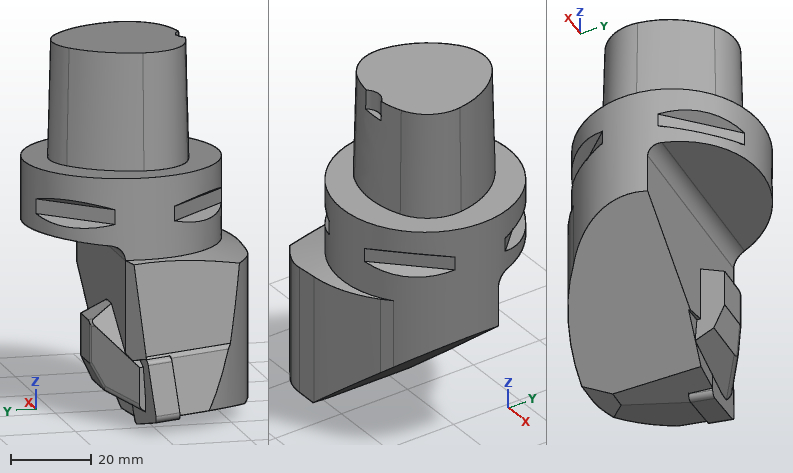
import cadquery as cq
import math


SHANK_HEIGHT = 30.0
BROAD_RADIUS = 16.6
LOBE_RADIUS = 18.5
JOINT_RADIUS = 17.6
BROAD_HALF_ANGLE = 34.4
SHANK_TAPER = 0.75
NOTCH_RADIUS = 4.1
NOTCH_CENTRE_Y = -18.2
NOTCH_DEPTH = 5.5

BODY_RADIUS = 50.0 / 2
GROOVE_MID_Z = -9.8
GROOVE_FLOOR_DISTANCE = 22.2
GROOVE_FLOOR_HEIGHT = 3.75
GROOVE_FLANK_ANGLE = 30

SHOULDER_Z = -20.9
SHOULDER_ANGLE = 15
BOTTOM_Z = -62.0
FRONT_Y = -28.7
FLAT_LEFT_X = -13.5
FLAT_RIGHT_X = -7.3
FRONT_ARC_RADIUS = 33.0
TANGENT_ANGLE = 36.6
CORNER_RADIUS = 12.2
CORNER_ANGLE = 25
SIDE_RADIUS = 30.9
SIDE_END_ANGLE = 80
BACK_SLOPE_ANGLE = 40
BACK_SLOPE_START_Z = -32.0
FRONT_BEVEL_ANGLE = 20.6
FRONT_BEVEL_START_Y = -21.7

WALL_Y = 5.2
RELIEF_EDGE_Z = -16.0
RELIEF_CEILING_ANGLE = 4.3
RELIEF_FILLET = 3.75
OBLIQUE_WALL_ANGLE = 31

FLANK_OFFSET = -23.0
FLANK_Y_SLOPE = -0.11
FLANK_Z_SLOPE = 0.17

INSERT_SIDE = 16.0
INSERT_THICKNESS = 6.4
INSERT_RADIUS = 1.6
NOSE = (-35.5, -0.1, -60.2)
FACE_X_SLOPE = 0.12
FACE_Z_SLOPE = 0.07
LOWER_EDGE_DROP = 0.25
NOSE_SETBACK = 0.8
FLANK_BREAK = 15.3
FLANK_BREAK_TOP = 16.6
FLANK_BREAK_DEPTH = 1.1

LUG_OUTLINE = [(5.2, -35.2), (11.8, -38.3), (11.8, -49.1), (8.8, -55.5), (1.1, -58.9), (1.1, -42.2)]
LUG_TIP = (-28.6, 2.6)
LUG_SLANT_ANGLE = 34
LUG_RIGHT_X = -5.6
LUG_FILLET = 1.9
LUG_BEVEL_BASE = (-28.3, -47.25)
LUG_BEVEL_ANGLE = 34

REACH = 112.5

insert_plane = cq.Plane(
    origin=NOSE,
    xDir=(1, FACE_X_SLOPE - FACE_Z_SLOPE * LOWER_EDGE_DROP, -LOWER_EDGE_DROP),
    normal=(FACE_X_SLOPE, -1, FACE_Z_SLOPE),
)


def polar(radius, degrees, z):
    angle = math.radians(degrees)
    return cq.Vector(radius * math.cos(angle), radius * math.sin(angle), z)


def lobed_profile(z, inset):
    """Three broad arcs alternating with three tighter lobes."""
    joint = JOINT_RADIUS - inset
    edges = []
    for middle in (-90, 30, 150):
        start = polar(joint, middle - BROAD_HALF_ANGLE, z)
        end = polar(joint, middle + BROAD_HALF_ANGLE, z)
        next_start = polar(joint, middle + 120 - BROAD_HALF_ANGLE, z)
        edges.append(cq.Edge.makeThreePointArc(start, polar(BROAD_RADIUS - inset, middle, z), end))
        edges.append(cq.Edge.makeThreePointArc(end, polar(LOBE_RADIUS - inset, middle + 60, z), next_start))
    return cq.Wire.assembleEdges(edges)


def make_shank():
    base = lobed_profile(0, 0)
    end = lobed_profile(SHANK_HEIGHT, SHANK_TAPER)
    notch = (
        cq.Workplane("XY", origin=(0, NOTCH_CENTRE_Y, SHANK_HEIGHT))
        .circle(NOTCH_RADIUS)
        .extrude(-NOTCH_DEPTH)
    )
    return cq.Workplane(cq.Solid.makeLoft([base, end], True)).cut(notch)


def make_groove(angle):
    """Trapezoidal groove cut straight across the rim at the given angle."""
    outer = BODY_RADIUS + 0.9
    half_floor = GROOVE_FLOOR_HEIGHT / 2
    half_mouth = half_floor + (outer - GROOVE_FLOOR_DISTANCE) * math.tan(math.radians(GROOVE_FLANK_ANGLE))
    return (
        cq.Workplane("XZ", origin=(0, 0, GROOVE_MID_Z))
        .polyline([
            (GROOVE_FLOOR_DISTANCE, -half_floor),
            (outer, -half_mouth),
            (outer, half_mouth),
            (GROOVE_FLOOR_DISTANCE, half_floor),
        ])
        .close()
        .extrude(BODY_RADIUS, both=True)
        .rotate((0, 0, 0), (0, 0, 1), angle)
    )


def arc_step(start, radius, from_angle, to_angle):
    """Middle and end of an arc, walking towards -X and turning to +Y from the front flat."""
    def at(angle):
        a, b = math.radians(from_angle), math.radians(angle)
        return (
            start[0] - radius * (math.sin(b) - math.sin(a)),
            start[1] + radius * (math.cos(a) - math.cos(b)),
        )
    return at((from_angle + to_angle) / 2), at(to_angle)


def make_head():
    tangent = math.radians(TANGENT_ANGLE)
    rim_point = (BODY_RADIUS * math.sin(tangent), -BODY_RADIUS * math.cos(tangent))
    flat_left = (FLAT_LEFT_X, FRONT_Y)
    flat_right = (FLAT_RIGHT_X, FRONT_Y)
    front_mid, front_end = [
        (FLAT_RIGHT_X + FRONT_ARC_RADIUS * math.sin(a), FRONT_Y + FRONT_ARC_RADIUS * (1 - math.cos(a)))
        for a in (tangent / 2, tangent)
    ]
    corner_mid, corner_end = arc_step(flat_left, CORNER_RADIUS, 0, CORNER_ANGLE)
    side_mid, side_end = arc_step(corner_end, SIDE_RADIUS, CORNER_ANGLE, SIDE_END_ANGLE)
    wall_x = -math.sqrt(BODY_RADIUS**2 - WALL_Y**2)
    oblique_y = WALL_Y - (wall_x - side_end[0]) * math.tan(math.radians(OBLIQUE_WALL_ANGLE))
    outline = (
        cq.Workplane("XY", origin=(0, 0, BOTTOM_Z))
        .moveTo(*rim_point)
        .lineTo(*front_end)
        .threePointArc(front_mid, flat_right)
        .lineTo(*flat_left)
        .threePointArc(corner_mid, corner_end)
        .threePointArc(side_mid, side_end)
        .lineTo(side_end[0], oblique_y)
        .lineTo(wall_x, WALL_Y)
        .lineTo(0, WALL_Y)
        .close()
        .extrude(SHOULDER_Z - BOTTOM_Z)
    )
    outer = 2 * BODY_RADIUS
    drop = (outer - BODY_RADIUS) * math.tan(math.radians(SHOULDER_ANGLE))
    cone_envelope = (
        cq.Workplane("XZ")
        .polyline([
            (0, BOTTOM_Z),
            (outer, BOTTOM_Z),
            (outer, SHOULDER_Z - drop),
            (BODY_RADIUS, SHOULDER_Z),
            (0, SHOULDER_Z),
        ])
        .close()
        .revolve(360, (0, 0, 0), (0, 1, 0))
    )
    return outline.intersect(cone_envelope)


def make_relief():
    """Space behind the wall and below the sloping flange ceiling."""
    slope = math.tan(math.radians(RELIEF_CEILING_ANGLE))
    wall_top = RELIEF_EDGE_Z - (BODY_RADIUS - WALL_Y) * slope
    outer_top = RELIEF_EDGE_Z + BODY_RADIUS * slope
    return (
        cq.Workplane("YZ")
        .polyline([
            (WALL_Y, -REACH),
            (WALL_Y, wall_top),
            (2 * BODY_RADIUS, outer_top),
            (2 * BODY_RADIUS, -REACH),
        ])
        .close()
        .extrude(REACH, both=True)
        .edges(cq.selectors.NearestToPointSelector((0, WALL_Y, wall_top)))
        .fillet(RELIEF_FILLET)
    )


def make_back_slope():
    run = REACH * math.cos(math.radians(BACK_SLOPE_ANGLE))
    fall = REACH * math.sin(math.radians(BACK_SLOPE_ANGLE))
    return (
        cq.Workplane("XZ", origin=(BODY_RADIUS, 0, BACK_SLOPE_START_Z))
        .polyline([(run, fall), (-run, -fall), (run, -fall)])
        .close()
        .extrude(REACH, both=True)
    )


def make_front_bevel():
    rise = REACH * math.tan(math.radians(FRONT_BEVEL_ANGLE))
    return (
        cq.Workplane("YZ", origin=(0, FRONT_BEVEL_START_Y, BOTTOM_Z))
        .polyline([(0, 0), (-REACH, rise), (-REACH, 0)])
        .close()
        .extrude(REACH, both=True)
    )


def make_flank():
    """Block on the -X side of the upper flank plane, between the lower flank and the flange."""
    plane = cq.Plane(
        origin=(FLANK_OFFSET, 0, 0),
        xDir=(FLANK_Y_SLOPE, 1, 0),
        normal=(-1, FLANK_Y_SLOPE, FLANK_Z_SLOPE),
    )
    beyond = cq.Workplane(plane).rect(2 * REACH, 2 * REACH).extrude(REACH)
    below_flange = (
        cq.Workplane("XY", origin=(0, 0, SHOULDER_Z))
        .rect(2 * REACH, 2 * REACH)
        .extrude(-REACH)
    )
    above_break = (
        cq.Workplane(insert_plane)
        .center(0, FLANK_BREAK_TOP + REACH)
        .rect(2 * REACH, 2 * REACH)
        .extrude(REACH, both=True)
    )
    return beyond.intersect(below_flange).intersect(above_break)


def make_lower_flank():
    """Space outside the lower flank and the short bevel above it."""
    return (
        cq.Workplane(insert_plane)
        .polyline([
            (NOSE_SETBACK, -REACH),
            (NOSE_SETBACK, FLANK_BREAK),
            (FLANK_BREAK_DEPTH, FLANK_BREAK_TOP),
            (-REACH, FLANK_BREAK_TOP),
            (-REACH, -REACH),
        ])
        .close()
        .extrude(REACH / 2, both=True)
    )


def make_under_nose():
    """Space below the housing edge that runs along the lower side of the insert."""
    return (
        cq.Workplane(insert_plane)
        .center(0, NOSE_SETBACK - REACH / 2)
        .rect(2 * REACH, REACH)
        .extrude(REACH / 2, both=True)
    )


def make_rake_clearance():
    """Space in front of the cutting face, up to the top of the insert."""
    return (
        cq.Workplane(insert_plane)
        .center(0, INSERT_SIDE - REACH / 2)
        .rect(2 * REACH, REACH)
        .extrude(-REACH)
    )


def make_insert():
    half = INSERT_SIDE / 2
    return (
        cq.Workplane(insert_plane)
        .center(half, half)
        .rect(INSERT_SIDE, INSERT_SIDE)
        .extrude(INSERT_THICKNESS)
        .edges(cq.selectors.ParallelDirSelector(insert_plane.zDir))
        .fillet(INSERT_RADIUS)
    )


def make_lug():
    """Bar along X, its left end slanted back from the oblique wall and bevelled on top."""
    tip_x, tip_y = LUG_TIP
    bar = (
        cq.Workplane("YZ", origin=(tip_x, 0, 0))
        .polyline(LUG_OUTLINE)
        .close()
        .extrude(LUG_RIGHT_X - tip_x)
    )
    rise = REACH * math.tan(math.radians(LUG_SLANT_ANGLE))
    slant = (
        cq.Workplane("XY", origin=(tip_x, tip_y, 0))
        .polyline([(-REACH, -rise), (REACH, rise), (-REACH, rise)])
        .close()
        .extrude(REACH, both=True)
    )
    bevel_x, bevel_z = LUG_BEVEL_BASE
    bevel_rise = REACH * math.tan(math.radians(LUG_BEVEL_ANGLE))
    bevel = (
        cq.Workplane("XZ", origin=(bevel_x, 0, bevel_z))
        .polyline([(-REACH, -bevel_rise), (REACH, bevel_rise), (-REACH, bevel_rise)])
        .close()
        .extrude(REACH, both=True)
    )
    rounded = bar.cut(slant).faces(">(-5,7,0)").edges("not <Y").fillet(LUG_FILLET)
    return rounded.cut(bevel)


def make_housing(insert):
    barrel = cq.Workplane("XY").circle(BODY_RADIUS).extrude(BOTTOM_Z)
    body = barrel.union(make_head())
    body = body.cut(make_relief())
    body = body.cut(make_flank())
    body = body.cut(make_lower_flank())
    body = body.cut(make_under_nose())
    body = body.cut(make_front_bevel())
    body = body.cut(make_rake_clearance())
    body = body.union(make_lug())
    body = body.cut(make_back_slope())
    for angle in (45, 135, 225, 315):
        body = body.cut(make_groove(angle))
    return body.union(make_shank()).cut(insert)


insert = make_insert()
housing = make_housing(insert)
result = cq.Compound.makeCompound([housing.val(), insert.val()])